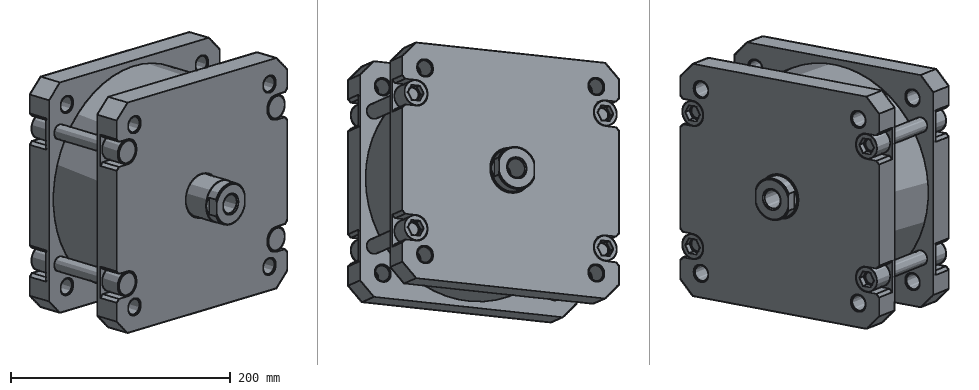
import cadquery as cq
import math


COVER_SIDE = 220.0
COVER_THICKNESS = 25.0
COVER_CORNER_CHAMFER = 14.0
MOUNT_HOLE_SPACING = 174.0
MOUNT_HOLE_DIAMETER = 14.5
MOUNT_HOLE_CHAMFER = 1.0
ROD_BORE_CHAMFER = 1.0

BARREL_LENGTH = 62.0
BARREL_DIAMETER = 209.0
HALF_LENGTH = BARREL_LENGTH / 2 + COVER_THICKNESS

BOLT_Y = 96.3
BOLT_Z = 63.0
BOLT_SHANK_DIAMETER = 14.0
BOLT_HEAD_DIAMETER = 23.0
BOLT_END_CHAMFER = 1.0
SLOT_WIDTH = 24.0
SLOT_DEPTH = 21.0
SLOT_MOUTH_CHAMFER = 3.0
SOCKET_FLATS = 14.0
SOCKET_DEPTH = 6.5
SOCKET_TURN = 30.0
SOCKET_RECESS_DIAMETER = 12.0
SOCKET_RECESS_DEPTH = 0.5

ROD_DIAMETER = 40.0
ROD_SHORT_END = 12.5
ROD_LONG_END = 37.0
ROD_END_DIAMETER = 39.4
ROD_END_CHAMFER = 1.0
ROD_FLATS = 36.0
ROD_FLAT_LENGTH = 10.0
ROD_FLAT_SLOPE = (ROD_DIAMETER - ROD_FLATS) / 2
ROD_END_LENGTH = ROD_FLAT_LENGTH + ROD_FLAT_SLOPE
ROD_HOLE_DIAMETER = 17.5
ROD_HOLE_CHAMFER = 1.25
ROD_HOLE_DEPTH = 30.0
DRILL_TIP_ANGLE = 118.0

BOLT_POSITIONS = [(y, z) for y in (-BOLT_Y, BOLT_Y) for z in (-BOLT_Z, BOLT_Z)]


def rod_along_x(diameter, start, length, y=0, z=0):
    """Round bar from x = start towards +X."""
    profile = cq.Workplane("YZ", origin=(start, y, z)).circle(diameter / 2)
    return profile.extrude(length)


def bolt_slot(y, z):
    """U-shaped slot open to the nearest side face, its mouth chamfered, in the outer face."""
    side = math.copysign(1, y)
    edge = side * COVER_SIDE / 2
    half_width = SLOT_WIDTH / 2
    half_mouth = half_width + SLOT_MOUTH_CHAMFER
    mouth_start = edge - side * SLOT_MOUTH_CHAMFER
    return (
        cq.Workplane("YZ", origin=(-HALF_LENGTH, 0, 0))
        .moveTo(edge, z + half_mouth)
        .lineTo(mouth_start, z + half_width)
        .lineTo(y, z + half_width)
        .threePointArc((y - side * half_width, z), (y, z - half_width))
        .lineTo(mouth_start, z - half_width)
        .lineTo(edge, z - half_mouth)
        .close()
        .extrude(SLOT_DEPTH)
    )


def make_cover():
    """Cover at the -X end."""
    cover = (
        cq.Workplane("YZ", origin=(-HALF_LENGTH, 0, 0))
        .rect(COVER_SIDE, COVER_SIDE)
        .extrude(COVER_THICKNESS)
        .edges("|X")
        .chamfer(COVER_CORNER_CHAMFER)
    )
    mount_holes = (
        cq.Workplane("YZ", origin=(-HALF_LENGTH, 0, 0))
        .rect(MOUNT_HOLE_SPACING, MOUNT_HOLE_SPACING, forConstruction=True)
        .vertices()
        .circle(MOUNT_HOLE_DIAMETER / 2)
        .extrude(COVER_THICKNESS)
    )
    cover = cover.cut(mount_holes)
    cover = cover.faces("<X or >X").edges("%CIRCLE").chamfer(MOUNT_HOLE_CHAMFER)
    rod_bore = rod_along_x(ROD_DIAMETER, -HALF_LENGTH, COVER_THICKNESS)
    cover = cover.cut(rod_bore)
    outer_bore_edge = cover.faces("<X").edges(cq.selectors.RadiusNthSelector(-1))
    cover = outer_bore_edge.chamfer(ROD_BORE_CHAMFER)
    for y, z in BOLT_POSITIONS:
        cover = cover.cut(bolt_slot(y, z))
        cover = cover.cut(rod_along_x(BOLT_SHANK_DIAMETER, -HALF_LENGTH, COVER_THICKNESS, y, z))
    return cover


def make_barrel():
    barrel = rod_along_x(BARREL_DIAMETER, -BARREL_LENGTH / 2, BARREL_LENGTH)
    return barrel.cut(rod_along_x(ROD_DIAMETER, -BARREL_LENGTH / 2, BARREL_LENGTH))


def make_tie_bolt(y, z):
    """Bolt with a head at each end; the -X head has a hexagon socket."""
    far_head_start = HALF_LENGTH - SLOT_DEPTH
    near_head = rod_along_x(BOLT_HEAD_DIAMETER, -HALF_LENGTH, SLOT_DEPTH, y, z)
    far_head = rod_along_x(BOLT_HEAD_DIAMETER, far_head_start, SLOT_DEPTH, y, z)
    far_head = far_head.faces(">X").chamfer(BOLT_END_CHAMFER)
    shank = rod_along_x(BOLT_SHANK_DIAMETER, -HALF_LENGTH, 2 * HALF_LENGTH - SLOT_DEPTH, y, z)
    socket = (
        cq.Workplane("YZ", origin=(-HALF_LENGTH, y, z))
        .polygon(6, SOCKET_FLATS, circumscribed=True)
        .extrude(SOCKET_DEPTH)
        .rotate((0, y, z), (1, y, z), SOCKET_TURN)
    )
    recess = rod_along_x(
        SOCKET_RECESS_DIAMETER, -HALF_LENGTH, SOCKET_DEPTH + SOCKET_RECESS_DEPTH, y, z
    )
    return shank.union(near_head).union(far_head).cut(socket).cut(recess)


def rod_end_flat(end, inward, side):
    """Prism that cuts one wrench flat, with a 45-degree run-out, at one end of the rod."""
    flat_end = end + inward * ROD_FLAT_LENGTH
    return (
        cq.Workplane("XY", origin=(0, 0, -ROD_DIAMETER / 2))
        .moveTo(end, side * ROD_FLATS / 2)
        .lineTo(flat_end, side * ROD_FLATS / 2)
        .lineTo(flat_end + inward * ROD_FLAT_SLOPE, side * ROD_DIAMETER / 2)
        .lineTo(end, side * ROD_DIAMETER / 2)
        .close()
        .extrude(ROD_DIAMETER)
    )


def rod_end_hole(end, inward):
    """Chamfered blind hole with a drill-point bottom."""
    radius = ROD_HOLE_DIAMETER / 2
    tip_length = radius / math.tan(math.radians(DRILL_TIP_ANGLE / 2))
    return (
        cq.Workplane("XY")
        .moveTo(end, 0)
        .lineTo(end, radius + ROD_HOLE_CHAMFER)
        .lineTo(end + inward * ROD_HOLE_CHAMFER, radius)
        .lineTo(end + inward * ROD_HOLE_DEPTH, radius)
        .lineTo(end + inward * (ROD_HOLE_DEPTH + tip_length), 0)
        .close()
        .revolve(360, (0, 0, 0), (1, 0, 0))
    )


def make_piston_rod():
    near_end = -HALF_LENGTH - ROD_SHORT_END
    far_end = HALF_LENGTH + ROD_LONG_END
    middle_start = near_end + ROD_END_LENGTH
    middle = rod_along_x(ROD_DIAMETER, middle_start, far_end - ROD_END_LENGTH - middle_start)
    rod = rod_along_x(ROD_END_DIAMETER, near_end, far_end - near_end).union(middle)
    rod = rod.faces("<X or >X").chamfer(ROD_END_CHAMFER)
    for end, inward in ((near_end, 1), (far_end, -1)):
        for side in (-1, 1):
            rod = rod.cut(rod_end_flat(end, inward, side))
        rod = rod.cut(rod_end_hole(end, inward))
    return rod


near_cover = make_cover()
far_cover = near_cover.mirror("YZ")
barrel = make_barrel()
piston_rod = make_piston_rod()
tie_bolts = [make_tie_bolt(y, z) for y, z in BOLT_POSITIONS]

result = cq.Compound.makeCompound(
    [near_cover.val(), far_cover.val(), barrel.val(), piston_rod.val()]
    + [bolt.val() for bolt in tie_bolts]
)